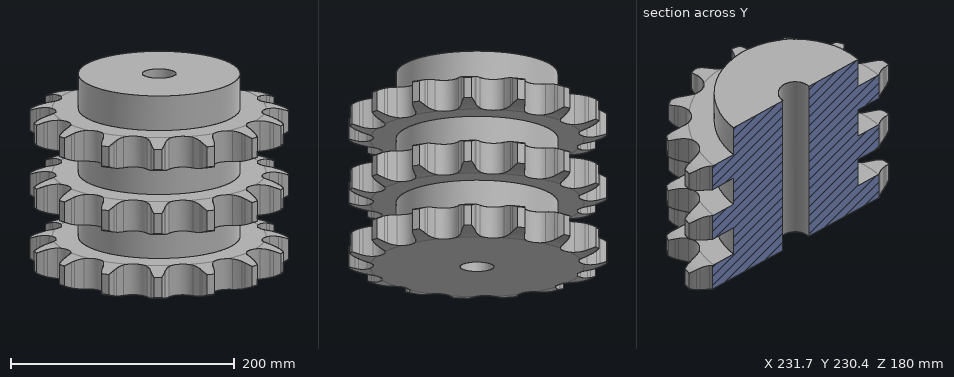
import cadquery as cq
import math


tooth_count = 15
chain_pitch = 44.5
roller_diameter = 28.0
tip_diameter = 232.3
row_count = 3
row_spacing = 59.5
row_width = 28.7
side_flat_radius = 95.7
hub_diameter = 145.0
total_height = 180.0
bore_diameter = 30.0

tooth_step = 2 * math.pi / tooth_count
half_step = tooth_step / 2
tip_radius = tip_diameter / 2
pitch_radius = chain_pitch / (2 * math.sin(half_step))

seat_radius = 0.5025 * roller_diameter
seat_half_angle = math.radians(35 + 60 / tooth_count)
flank_turn = math.radians(18 - 56 / tooth_count)
flank_offset = 0.8 * roller_diameter
flank_radius = seat_radius + flank_offset
topping_tilt = math.radians(17 - 64 / tooth_count)
topping_offset = 1.4 * roller_diameter
topping_radius = (
    flank_offset * math.cos(flank_turn)
    + topping_offset * math.cos(topping_tilt)
    - flank_radius
)


def polar(radius, angle, center=(0, 0)):
    """Point at a radius and angle from a center."""
    return (center[0] + radius * math.cos(angle), center[1] + radius * math.sin(angle))


def right_half_gap():
    """Points from the root to the right-hand tooth tip, for a gap centered on +Y.

    Seat, flank and topping are tangent arcs, with a short straight piece after the flank.
    """
    seat_center = (0, pitch_radius)
    root = polar(seat_radius, -math.pi / 2, seat_center)
    seat_end = polar(seat_radius, -seat_half_angle, seat_center)

    flank_center = polar(flank_offset, math.pi - seat_half_angle, seat_center)
    flank_mid = polar(flank_radius, flank_turn / 2 - seat_half_angle, flank_center)
    flank_end_angle = flank_turn - seat_half_angle
    flank_end = polar(flank_radius, flank_end_angle, flank_center)

    topping_center = polar(topping_offset, -half_step, seat_center)
    topping_start_angle = math.pi + flank_end_angle
    topping_start = polar(topping_radius, topping_start_angle, topping_center)

    center_distance = math.hypot(*topping_center)
    center_angle = math.atan2(topping_center[1], topping_center[0])
    squares = center_distance**2 + tip_radius**2 - topping_radius**2
    corner_offset = math.acos(squares / (2 * center_distance * tip_radius))
    tip_corner = polar(tip_radius, center_angle + corner_offset)
    topping_end_angle = math.atan2(tip_corner[1] - topping_center[1], tip_corner[0] - topping_center[0])
    topping_mid_angle = (topping_start_angle + topping_end_angle) / 2
    topping_mid = polar(topping_radius, topping_mid_angle, topping_center)

    return root, seat_end, flank_mid, flank_end, topping_start, topping_mid, tip_corner


def rotated(point, angle):
    """Point turned about the sprocket axis."""
    return polar(math.hypot(*point), math.atan2(point[1], point[0]) + angle)


def tooth_outline():
    """Closed tooth outline, drawn gap by gap in the counterclockwise direction."""
    right = right_half_gap()
    left = [(-x, y) for x, y in right]
    outline = cq.Workplane("XY").moveTo(*right[-1])
    for gap in range(tooth_count):
        turn = gap * tooth_step
        root, seat_right, flank_mid_right, flank_right, topping_right, topping_mid_right, _ = [
            rotated(point, turn) for point in right
        ]
        _, seat_left, flank_mid_left, flank_left, topping_left, topping_mid_left, tip_left = [
            rotated(point, turn) for point in left
        ]
        outline = (
            outline.threePointArc(topping_mid_right, topping_right)
            .lineTo(*flank_right)
            .threePointArc(flank_mid_right, seat_right)
            .threePointArc(root, seat_left)
            .threePointArc(flank_mid_left, flank_left)
            .lineTo(*topping_left)
            .threePointArc(topping_mid_left, tip_left)
        )
        tip_middle = polar(tip_radius, math.pi / 2 + turn + half_step)
        next_tip = rotated(right[-1], turn + tooth_step)
        outline = outline.threePointArc(tip_middle, next_tip)
    return outline.close()


def row_blank():
    """Disc whose side faces curve in towards the rim on arcs with the chain pitch as radius."""
    relief_radius = chain_pitch
    relief_angle = math.asin((tip_radius - side_flat_radius) / relief_radius)
    relief_depth = relief_radius * (1 - math.cos(relief_angle))
    mid_radius = side_flat_radius + relief_radius * math.sin(relief_angle / 2)
    mid_depth = relief_radius * (1 - math.cos(relief_angle / 2))
    return (
        cq.Workplane("XZ")
        .lineTo(side_flat_radius, 0)
        .threePointArc((mid_radius, mid_depth), (tip_radius, relief_depth))
        .lineTo(tip_radius, row_width - relief_depth)
        .threePointArc((mid_radius, row_width - mid_depth), (side_flat_radius, row_width))
        .lineTo(0, row_width)
        .close()
        .revolve(360, (0, 0, 0), (0, 1, 0))
    )


toothed_row = tooth_outline().extrude(row_width).intersect(row_blank())
result = cq.Workplane("XY").circle(hub_diameter / 2).extrude(total_height)
for row in range(row_count):
    result = result.union(toothed_row.translate((0, 0, row * row_spacing)))

bore = cq.Workplane("XY").circle(bore_diameter / 2).extrude(total_height)
result = result.cut(bore)